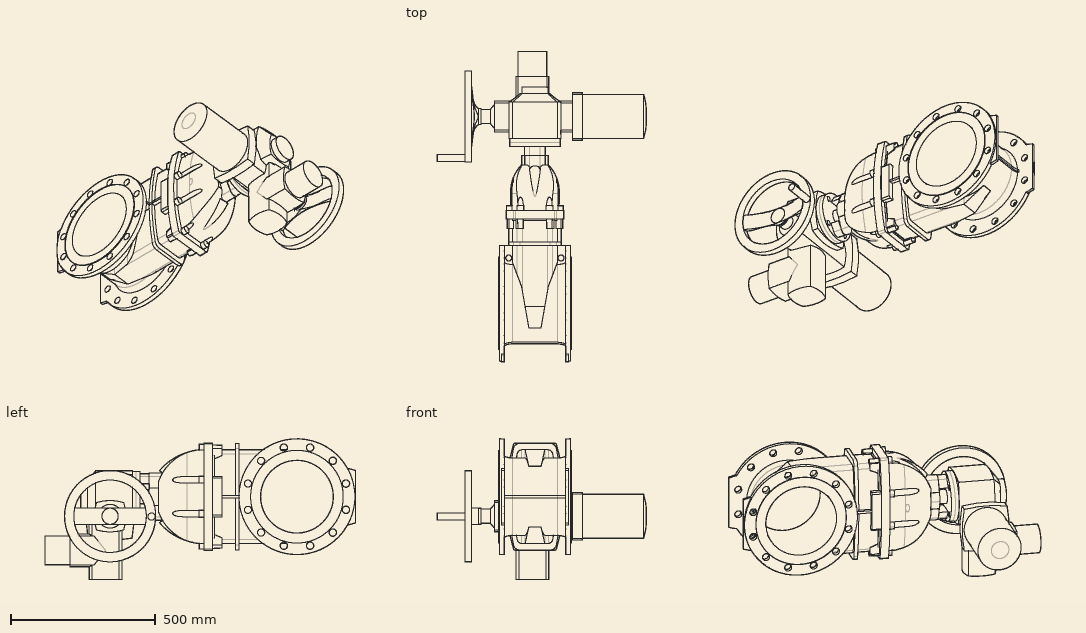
import cadquery as cq
import math


bore_diameter = 250
pipe_radius = 134
pipe_root_radius = 140
pipe_straight_half = 77.5
flange_diameter = 400
flange_back_x = 105.6
flange_front_x = 123
raised_face_diameter = 320
raised_face_x = 126
bolt_circle_diameter = 350
bolt_hole_diameter = 24.5
bolt_hole_count = 12

foot_bottom_y = -202
foot_shoulder_y = -180
foot_root_y = -150
foot_bottom_half = 91
foot_half = 97
foot_thickness = 10

rib_thickness = 8
rib_height = 6
lug_root_y = 100
lug_hole_y = 156.5
lug_hole_x = 90
lug_hole_diameter = 20

neck_half_width = 77
neck_corner_half_width = 58
neck_half_height = 162
neck_corner_radius = 18
wedge_tip_y = -84.5
wedge_shoulder_y = -11
wedge_tip_half_width = 21
wedge_shoulder_half_width = 34
wedge_flare_y = 58
wedge_flare_half_width = 46
wedge_tip_height = 105

collar_start_y = 199
collar_end_y = 212
collar_half_width = 91
collar_corner_half_width = 70
collar_half_height = 184
collar_corner_radius = 22

boss_start_y = 258
joint_start_y = 291
joint_end_y = 321
joint_half_width = 100
joint_corner_half_width = 73
joint_half_height = 185
joint_corner_radius = 8
step_start_y = 285
step_height = 3
bolt_head_diameter = 24.5
bolt_head_end_y = 337
boss_root_diameter = 20
boss_tip_diameter = 17
gusset_inner_x = 40
gusset_outer_x = 66
gusset_outer_z = 167
gusset_tip_z = 142
gusset_root_z = 128
end_bolt_x = 50
end_bolt_z = 169
side_bolt_x = 86
side_bolt_z = 59
side_pad_outer_x = 96
side_pad_half_height = 70
side_pad_chamfer = 6

dome_half_width = 84
dome_side_radius = 535
dome_side_sweep = 60
dome_half_height = 163
dome_top_y = 478
dome_top_half_height = 50
dome_side_arc = ((dome_half_width, 379), (71, 443), (46, dome_top_y))
spine_radius = 20
spine_arc = ((458.8, 77), (408.9, 118.7), (346, 140))

hub_radius = 46
hub_top_y = 510
stem_radius = 25
column_base_y = 440
column_top_z = 80
column_base_top_z = 82
column_shoulder_z = 70
column_shoulder_half_width = 18
column_foot_half_width = 36
column_foot_z = 44
column_base_foot_z = 30
yoke_flange_start_y = 541
yoke_flange_end_y = 555
mount_flange_end_y = 568
mount_flange_diameter = 175
mount_bolt_circle = 140
mount_hole_diameter = 18
mount_hole_count = 4

gearbox_end_y = 694
gearbox_top_y = 723
gearbox_corner = 77
gearbox_bulge = 90
gearbox_top_corner = 45
gearbox_top_bulge = 52
cap_diameter = 90
cap_end_y = 746

shaft_y = 644.5
shaft_z = -67.4
housing_corner = 47
housing_bulge = 54
housing_start_x = -140
motor_flange_start_x = 129
motor_flange_end_x = 164
motor_flange_corner = 76
motor_flange_bulge = 83
motor_diameter = 153
motor_rim_x = 375
motor_end_x = 384
motor_end_radius = 31

shaft_diameter = 50
collar_base_radius = 41
shaft_collar_x = -154
wheel_back_x = -218
wheel_front_x = -242
wheel_diameter = 315
wheel_inner_diameter = 250
spoke_half_width = 29
spoke_overlap = 2
spoke_root_x = -186
spoke_front_x = -208
hub_face_x = -210
hub_face_diameter = 56
handle_diameter = 25
handle_end_x = -337
handle_pitch_radius = 143
handle_z = -68.5

control_x = -8.6
control_y = 660
control_corner = 47
control_bulge = 57
control_bottom_z = -286
terminal_z = -185.5
terminal_block_corner = 50
terminal_block_end_y = 783
terminal_diameter = 100
terminal_end_y = 869


def along_y(y):
    """Workplane at station y whose local axes are X and Z; extrude(-length) goes to +Y."""
    return cq.Workplane("XZ", origin=(0, y, 0))


def cylinder_y(radius, start, end, x=0, z=0):
    return along_y(start).center(x, z).circle(radius).extrude(start - end)


def centred_box(x_half, y_start, y_end, z_half):
    length = y_end - y_start
    return cq.Workplane("XY").box(2 * x_half, length, 2 * z_half).translate((0, y_start + length / 2, 0))


def bulged_square(plane, corner, bulge):
    """Square with its corners at +-corner and its four sides bowed out to +-bulge."""
    return (
        plane.moveTo(-corner, -corner)
        .threePointArc((0, -bulge), (corner, -corner))
        .threePointArc((bulge, 0), (corner, corner))
        .threePointArc((0, bulge), (-corner, corner))
        .threePointArc((-bulge, 0), (-corner, -corner))
        .close()
    )


def barrel(start, end, half_width, corner_half_width, half_height, corner_radius=0):
    """Block along Y with flat top and bottom and bowed sides."""
    block = (
        along_y(start)
        .moveTo(-corner_half_width, -half_height)
        .lineTo(corner_half_width, -half_height)
        .threePointArc((half_width, 0), (corner_half_width, half_height))
        .lineTo(-corner_half_width, half_height)
        .threePointArc((-half_width, 0), (-corner_half_width, -half_height))
        .close()
        .extrude(start - end)
    )
    if corner_radius:
        block = block.edges("|Y").fillet(corner_radius)
    return block


def pipe_wall(growth=0):
    """Solid pipe between the flanges, flaring towards them."""
    middle = pipe_radius + growth
    root = pipe_root_radius + growth
    bend_x = (pipe_straight_half + flange_back_x) / 2
    bend_radius = middle + (root - middle) / 4
    return (
        cq.Workplane("XY")
        .moveTo(-flange_back_x, 0)
        .lineTo(-flange_back_x, root)
        .threePointArc((-bend_x, bend_radius), (-pipe_straight_half, middle))
        .lineTo(pipe_straight_half, middle)
        .threePointArc((bend_x, bend_radius), (flange_back_x, root))
        .lineTo(flange_back_x, 0)
        .close()
        .revolve(360, (0, 0, 0), (1, 0, 0))
    )


def end_flange():
    """Flange with its foot on the +X end."""
    plate_plane = cq.Workplane("YZ", origin=(flange_back_x, 0, 0))
    plate = plate_plane.circle(flange_diameter / 2).extrude(flange_front_x - flange_back_x)
    face = plate_plane.circle(raised_face_diameter / 2).extrude(raised_face_x - flange_back_x)
    foot = (
        plate_plane.moveTo(foot_root_y, -foot_half)
        .lineTo(foot_shoulder_y, -foot_half)
        .lineTo(foot_bottom_y, -foot_bottom_half)
        .lineTo(foot_bottom_y, foot_bottom_half)
        .lineTo(foot_shoulder_y, foot_half)
        .lineTo(foot_root_y, foot_half)
        .close()
        .extrude(foot_thickness)
    )
    holes = (
        plate_plane.polarArray(bolt_circle_diameter / 2, 180 / bolt_hole_count, 360, bolt_hole_count)
        .circle(bolt_hole_diameter / 2)
        .extrude(raised_face_x - flange_back_x)
    )
    return plate.union(face).union(foot).cut(holes)


def body_neck():
    """Gate pocket: a barrel block narrowed towards the bottom of the pipe."""
    block = barrel(
        wedge_tip_y, joint_start_y, neck_half_width, neck_corner_half_width,
        neck_half_height, neck_corner_radius,
    )
    right_edge = [
        (wedge_tip_half_width, wedge_tip_y),
        (wedge_shoulder_half_width, wedge_shoulder_y),
        (wedge_flare_half_width, wedge_flare_y),
        (neck_half_width, pipe_radius + rib_height),
        (neck_half_width, joint_start_y),
    ]
    left_edge = [(-x, y) for x, y in reversed(right_edge)]
    plan = cq.Workplane("XY").polyline(right_edge + left_edge).close().extrude(neck_half_height, both=True)
    side = (
        cq.Workplane("YZ")
        .polyline([
            (wedge_tip_y, -wedge_tip_height),
            (wedge_shoulder_y, -neck_half_height),
            (joint_start_y, -neck_half_height),
            (joint_start_y, neck_half_height),
            (wedge_shoulder_y, neck_half_height),
            (wedge_tip_y, wedge_tip_height),
        ])
        .close()
        .extrude(neck_half_width, both=True)
    )
    return block.intersect(plan).intersect(side)


def casting_ribs():
    """Mid-plane ribs: under the pipe, beside the neck and as drilled lugs behind the flanges."""
    half = rib_thickness / 2
    flange_radius = flange_diameter / 2
    bottom = pipe_wall(rib_height).intersect(centred_box(flange_back_x, -flange_radius, 0, half))
    lugs = centred_box(flange_back_x, lug_root_y, flange_radius, half)
    sides = centred_box(collar_half_width, lug_root_y, boss_start_y, half)
    holes = (
        cq.Workplane("XY", origin=(0, lug_hole_y, 0))
        .pushPoints([(-lug_hole_x, 0), (lug_hole_x, 0)])
        .circle(lug_hole_diameter / 2)
        .extrude(rib_thickness, both=True)
    )
    return bottom.union(lugs).union(sides).cut(holes)


def joint_bolt_places():
    return [
        (sign_x * x, sign_z * z)
        for x, z in ((end_bolt_x, end_bolt_z), (side_bolt_x, side_bolt_z))
        for sign_x in (-1, 1)
        for sign_z in (-1, 1)
    ]


def bonnet_joint():
    """Bolted flange pair, with bosses and side pads below and bolt heads above."""
    joint = barrel(
        joint_start_y, joint_end_y, joint_half_width, joint_corner_half_width,
        joint_half_height, joint_corner_radius,
    )
    for x, z in joint_bolt_places():
        joint = joint.union(cylinder_y(bolt_head_diameter / 2, joint_end_y, bolt_head_end_y, x, z))
        if abs(z) == end_bolt_z:
            boss = (
                along_y(boss_start_y).center(x, z).circle(boss_tip_diameter / 2)
                .workplane(offset=boss_start_y - joint_start_y).circle(boss_root_diameter / 2).loft()
            )
            joint = joint.union(boss)
    step = barrel(
        step_start_y, joint_start_y, neck_half_width + step_height, neck_corner_half_width + step_height,
        neck_half_height + step_height, neck_corner_radius + step_height,
    )
    gusset = (
        cq.Workplane("YZ", origin=(gusset_inner_x, 0, 0))
        .polyline([
            (boss_start_y, gusset_tip_z),
            (boss_start_y, gusset_outer_z),
            (joint_start_y, gusset_outer_z),
            (joint_start_y, gusset_root_z),
        ])
        .close()
        .extrude(gusset_outer_x - gusset_inner_x)
    )
    gussets = gusset.union(gusset.mirror("YZ"))
    joint = joint.union(step).union(gussets).union(gussets.mirror("XY"))
    pads = centred_box(side_pad_outer_x, boss_start_y, joint_start_y, side_pad_half_height)
    return joint.union(pads.edges("|Y").chamfer(side_pad_chamfer))


def dome_side_profile():
    """Side of the dome revolved about a far axis parallel to the stem, giving it a bowed section."""
    start, middle, end = dome_side_arc
    axis_x = dome_half_width - dome_side_radius
    return (
        cq.Workplane("XY")
        .moveTo(axis_x, joint_end_y)
        .lineTo(start[0], joint_end_y)
        .lineTo(*start)
        .threePointArc(middle, end)
        .lineTo(axis_x, dome_top_y)
        .close()
        .revolve(dome_side_sweep, (axis_x, 0, 0), (axis_x, 1, 0))
        .rotate((axis_x, 0, 0), (axis_x, 1, 0), -dome_side_sweep / 2)
    )


def bonnet_dome():
    """Rounded in plan and in side view, and relieved above each bolt head."""
    rise = dome_top_y - joint_end_y
    drop = dome_half_height - dome_top_half_height
    height_radius = (rise**2 + drop**2) / (2 * drop)
    middle_y = joint_end_y + rise / 2
    middle_z = dome_half_height - height_radius + math.sqrt(height_radius**2 - (rise / 2) ** 2)
    height = (
        cq.Workplane("YZ")
        .moveTo(joint_end_y, dome_half_height)
        .threePointArc((middle_y, middle_z), (dome_top_y, dome_top_half_height))
        .lineTo(dome_top_y, -dome_top_half_height)
        .threePointArc((middle_y, -middle_z), (joint_end_y, -dome_half_height))
        .close()
        .extrude(dome_half_width, both=True)
    )
    bowed_side = dome_side_profile()
    dome = height.intersect(bowed_side).intersect(bowed_side.mirror("YZ"))
    for x, z in joint_bolt_places():
        dome = dome.cut(cylinder_y(bolt_head_diameter / 2, joint_end_y, dome_top_y, x, z))
    return dome


def dome_spine():
    """Round rib that follows a flatter arc than the dome and sinks into it."""
    start, middle, end = spine_arc
    path = cq.Workplane("YZ").moveTo(*start).threePointArc(middle, end)
    tangent = path.val().tangentAt(0)
    plane = cq.Plane(origin=(0, *start), xDir=(1, 0, 0), normal=tangent.toTuple())
    return cq.Workplane(plane).circle(spine_radius).sweep(path)


def column(start, end, foot_z, top_z):
    """Yoke column: rounded on the outside and flaring towards the stem."""
    return (
        along_y(start)
        .moveTo(-column_foot_half_width, foot_z)
        .lineTo(column_foot_half_width, foot_z)
        .lineTo(column_shoulder_half_width, column_shoulder_z)
        .threePointArc((0, top_z), (-column_shoulder_half_width, column_shoulder_z))
        .close()
        .extrude(start - end)
    )


def yoke():
    """Stem hub, stem and two columns between the dome and the actuator flanges."""
    body = cylinder_y(hub_radius, joint_end_y, hub_top_y)
    body = body.union(cylinder_y(stem_radius, hub_top_y, yoke_flange_start_y))
    pillar = column(hub_top_y, yoke_flange_start_y, column_foot_z, column_top_z)
    base = column(column_base_y, hub_top_y, column_base_foot_z, column_base_top_z)
    side = pillar.union(base).union(dome_spine())
    body = body.union(side).union(side.mirror("XY"))
    flange = cylinder_y(mount_flange_diameter / 2, yoke_flange_start_y, yoke_flange_end_y)
    holes = (
        along_y(yoke_flange_start_y)
        .polarArray(mount_bolt_circle / 2, 180 / mount_hole_count, 360, mount_hole_count)
        .circle(mount_hole_diameter / 2)
        .extrude(yoke_flange_start_y - yoke_flange_end_y)
    )
    return body.union(flange.cut(holes))


def gearbox():
    mount = cylinder_y(mount_flange_diameter / 2, yoke_flange_end_y, mount_flange_end_y)
    case = bulged_square(along_y(mount_flange_end_y), gearbox_corner, gearbox_bulge)
    case = case.extrude(mount_flange_end_y - gearbox_end_y)
    shoulder = bulged_square(along_y(gearbox_end_y), gearbox_corner, gearbox_bulge)
    shoulder = shoulder.workplane(offset=gearbox_end_y - gearbox_top_y)
    shoulder = bulged_square(shoulder, gearbox_top_corner, gearbox_top_bulge).loft(ruled=True)
    cap = cylinder_y(cap_diameter / 2, gearbox_top_y, cap_end_y)
    return mount.union(case).union(shoulder).union(cap)


def along_shaft(x):
    """Workplane at x, centred on the worm shaft, whose local axes are Y and Z."""
    return cq.Workplane("YZ", origin=(x, shaft_y, shaft_z))


def turned_on_shaft(outline):
    """Revolve a closed (x, radius) outline about the worm shaft."""
    return outline.close().revolve(360, (0, 0, 0), (1, 0, 0))


def shaft_profile():
    return cq.Workplane("XY", origin=(0, shaft_y, shaft_z))


def motor_drive():
    """Worm housing, motor flange and motor with a domed end."""
    housing = bulged_square(along_shaft(housing_start_x), housing_corner, housing_bulge)
    housing = housing.extrude(motor_flange_start_x - housing_start_x)
    flange = bulged_square(along_shaft(motor_flange_start_x), motor_flange_corner, motor_flange_bulge)
    flange = flange.extrude(motor_flange_end_x - motor_flange_start_x)
    motor_radius = motor_diameter / 2
    dome_mid = ((motor_rim_x + 2 * motor_end_x) / 3, (motor_radius + motor_end_radius) / 2)
    motor = turned_on_shaft(
        shaft_profile()
        .moveTo(motor_flange_end_x, 0)
        .lineTo(motor_flange_end_x, motor_radius)
        .lineTo(motor_rim_x, motor_radius)
        .threePointArc(dome_mid, (motor_end_x, motor_end_radius))
        .lineTo(motor_end_x, 0)
    )
    return housing.union(flange).union(motor)


def handwheel():
    """Rim, dished spoke bar, shaft and crank handle."""
    shaft_radius = shaft_diameter / 2
    inner_radius = wheel_inner_diameter / 2
    rim = (
        along_shaft(wheel_front_x).circle(wheel_diameter / 2).circle(inner_radius)
        .extrude(wheel_back_x - wheel_front_x)
    )
    rim_mid_x = (wheel_front_x + wheel_back_x) / 2
    bar_end = inner_radius + spoke_overlap
    spoke_end_x = wheel_front_x + spoke_overlap
    dish_depth = spoke_front_x - spoke_end_x
    dish = turned_on_shaft(
        shaft_profile()
        .moveTo(spoke_front_x, 0)
        .threePointArc((spoke_front_x - dish_depth / 4, bar_end / 2), (spoke_end_x, bar_end))
        .lineTo(rim_mid_x, bar_end)
        .spline([(-211, 52), (-202, 34), (spoke_root_x, shaft_radius)], includeCurrent=True)
        .lineTo(spoke_root_x, 0)
    )
    bar = along_shaft(wheel_front_x).rect(wheel_diameter, 2 * spoke_half_width).extrude(wheel_diameter)
    spoke = dish.intersect(bar)
    hub = along_shaft(hub_face_x).circle(hub_face_diameter / 2).extrude(spoke_root_x - hub_face_x)
    shaft = turned_on_shaft(
        shaft_profile()
        .moveTo(hub_face_x, 0)
        .lineTo(hub_face_x, shaft_radius)
        .lineTo(shaft_collar_x, shaft_radius)
        .lineTo(housing_start_x, collar_base_radius)
        .lineTo(housing_start_x, 0)
    )
    handle_y = shaft_y - handle_pitch_radius
    handle = (
        cq.Workplane("YZ", origin=(handle_end_x, handle_y, handle_z))
        .circle(handle_diameter / 2)
        .extrude(wheel_back_x - handle_end_x)
    )
    return rim.union(spoke).union(hub).union(shaft).union(handle)


def control_unit():
    """Upright control housing with the terminal head on its +Y side."""
    upright_plane = cq.Workplane("XY", origin=(control_x, control_y, control_bottom_z))
    upright = bulged_square(upright_plane, control_corner, control_bulge)
    upright = upright.extrude(shaft_z - control_bottom_z)
    block_plane = along_y(control_y).center(control_x, terminal_z)
    block = bulged_square(block_plane, terminal_block_corner, control_bulge)
    block = block.extrude(control_y - terminal_block_end_y)
    terminal = cylinder_y(terminal_diameter / 2, terminal_block_end_y, terminal_end_y, control_x, terminal_z)
    return upright.union(block).union(terminal)


def valve_body():
    flange = end_flange()
    collar = barrel(
        collar_start_y, collar_end_y, collar_half_width, collar_corner_half_width,
        collar_half_height, collar_corner_radius,
    )
    body = pipe_wall().union(body_neck()).union(casting_ribs()).union(collar)
    body = body.union(flange).union(flange.mirror("YZ"))
    inlet = cq.Workplane("YZ", origin=(-raised_face_x, 0, 0))
    bore = inlet.circle(bore_diameter / 2).extrude(2 * raised_face_x)
    return body.cut(bore)


result = valve_body()
for section in (bonnet_joint, bonnet_dome, yoke, gearbox, motor_drive, handwheel, control_unit):
    result = result.union(section())